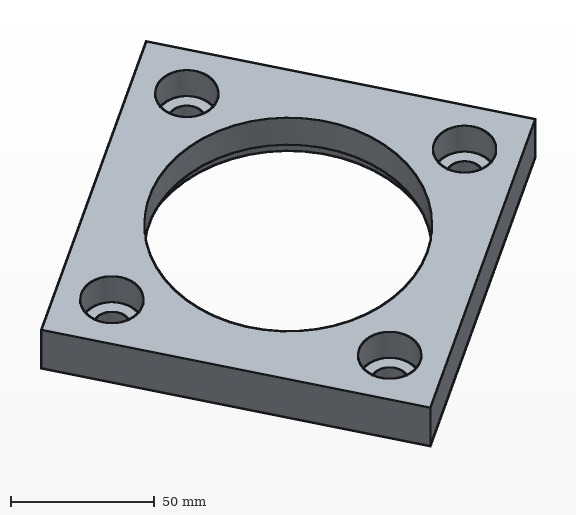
import cadquery as cq

side = 140.0
thickness = 20.0

bore_diameter = 100.0
recess_diameter = 105.0
recess_depth = 6.0

screw_spacing = bore_diameter
screw_diameter = 13.0
head_diameter = 22.0
head_depth = 13.5

plate = cq.Workplane("XY").box(side, side, thickness, centered=(True, True, False))

bore = cq.Workplane("XY").circle(bore_diameter / 2).extrude(thickness)
recess = cq.Workplane("XY").circle(recess_diameter / 2).extrude(recess_depth)
ring_plate = plate.cut(bore).cut(recess)

result = (
    ring_plate.faces(">Z")
    .workplane(origin=(0, 0, thickness))
    .rect(screw_spacing, screw_spacing, forConstruction=True)
    .vertices()
    .cboreHole(screw_diameter, head_diameter, head_depth)
)